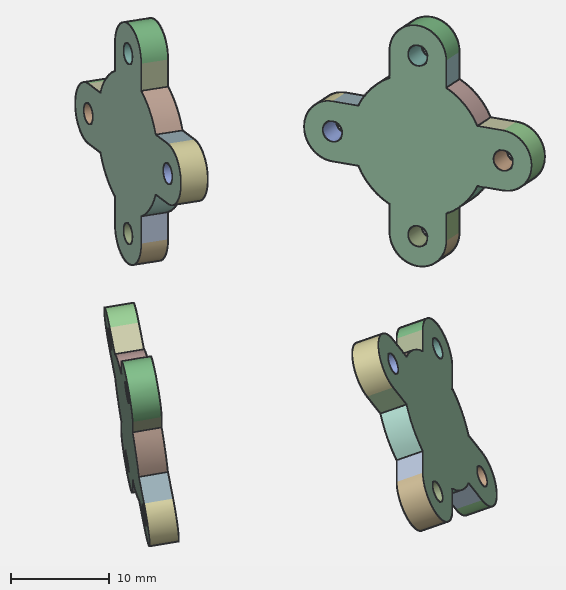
import cadquery as cq

span = 25.85
thickness = 3.0
arm_width = 6.45
disc_diameter = 15.0
hole_diameter = 2.2

hole_offset = (span - arm_width) / 2
hole_centres = [
    (hole_offset, 0),
    (0, hole_offset),
    (-hole_offset, 0),
    (0, -hole_offset),
]


def plate_sketch():
    """Workplane facing -Y on the front face, so extruding backwards adds thickness."""
    return cq.Workplane("XZ", origin=(0, -thickness / 2, 0))


def crossed_arm(angle):
    """Full-length bar with rounded ends, making two opposite arms."""
    return plate_sketch().slot2D(span, arm_width, angle).extrude(-thickness)


disc = plate_sketch().circle(disc_diameter / 2).extrude(-thickness)
body = disc.union(crossed_arm(0)).union(crossed_arm(90))

holes = plate_sketch().pushPoints(hole_centres).circle(hole_diameter / 2).extrude(-thickness)

result = body.cut(holes)